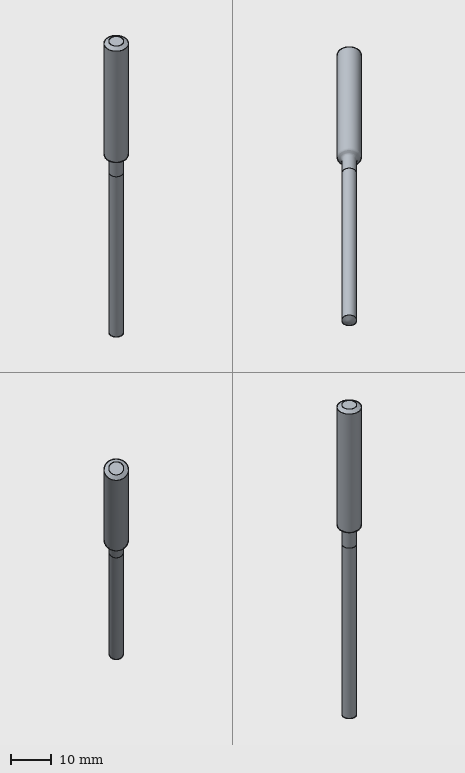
import cadquery as cq
import math

total_length = 94.0
shank_radius = 6.0 / 2
drill_radius = 3.7 / 2

point_angle = 140.0
point_height = drill_radius / math.tan(math.radians(point_angle / 2))

neck_bottom = 52.1

shoulder_middle = 57.15
shoulder_slope = 55.0
shoulder_height = (shank_radius - drill_radius) / math.tan(math.radians(shoulder_slope))
shoulder_bottom = shoulder_middle - shoulder_height / 2
shoulder_top = shoulder_middle + shoulder_height / 2
shoulder_fillet = 0.7

end_face_radius = drill_radius
end_cone_height = 0.7


def revolved(profile):
    """Solid of revolution about Z from (radius, height) points."""
    return cq.Workplane("XZ").polyline(profile).close().revolve(360, (0, 0, 0), (0, 1, 0))


def make_drill():
    """Cylindrical drill with its conical point."""
    return revolved([
        (0, 0),
        (drill_radius, point_height),
        (drill_radius, neck_bottom),
        (0, neck_bottom),
    ])


def make_shank():
    """Neck and shank joined by a rounded shoulder, with a cone at the free end."""
    body = revolved([
        (0, neck_bottom),
        (drill_radius, neck_bottom),
        (drill_radius, shoulder_bottom),
        (shank_radius, shoulder_top),
        (shank_radius, total_length - end_cone_height),
        (end_face_radius, total_length),
        (0, total_length),
    ])
    corner_band = cq.selectors.BoxSelector(
        (-shank_radius, -shank_radius, shoulder_bottom - shoulder_fillet),
        (shank_radius, shank_radius, shoulder_top + shoulder_fillet),
    )
    return body.edges(corner_band).edges("%CIRCLE").fillet(shoulder_fillet)


drill = make_drill()
shank = make_shank()

result = cq.Compound.makeCompound([drill.val(), shank.val()])